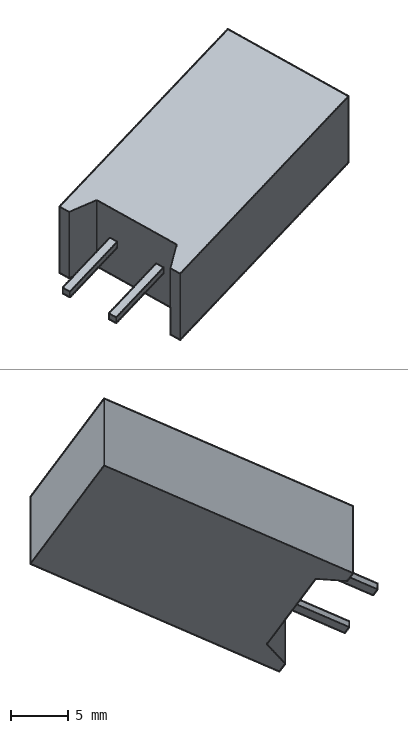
import cadquery as cq

WIDTH = 13.0
TOTAL_LENGTH = 29.5
HEIGHT = 9.0

HOUSING_LENGTH = 25.0
NOTCH_DEPTH = 2.5
NOTCH_FLOOR_WIDTH = 8.6
NOTCH_MOUTH_WIDTH = 10.92

PIN_SIDE = 0.8
PIN_PITCH = 5.0

MOUTH_Y = TOTAL_LENGTH - HOUSING_LENGTH
NOTCH_FLOOR_Y = MOUTH_Y + NOTCH_DEPTH


def make_housing():
    """Block with a tapered notch running through its full height at the pin end."""
    return (
        cq.Workplane("XY")
        .moveTo(-WIDTH / 2, TOTAL_LENGTH)
        .lineTo(-WIDTH / 2, MOUTH_Y)
        .lineTo(-NOTCH_MOUTH_WIDTH / 2, MOUTH_Y)
        .lineTo(-NOTCH_FLOOR_WIDTH / 2, NOTCH_FLOOR_Y)
        .lineTo(NOTCH_FLOOR_WIDTH / 2, NOTCH_FLOOR_Y)
        .lineTo(NOTCH_MOUTH_WIDTH / 2, MOUTH_Y)
        .lineTo(WIDTH / 2, MOUTH_Y)
        .lineTo(WIDTH / 2, TOTAL_LENGTH)
        .close()
        .extrude(HEIGHT / 2, both=True)
    )


def make_pin(x):
    """Square pin standing on the notch floor at mid height."""
    return (
        cq.Workplane("XY")
        .box(PIN_SIDE, NOTCH_FLOOR_Y, PIN_SIDE, centered=(True, False, True))
        .translate((x, 0, 0))
    )


housing = make_housing()
pins = [make_pin(side * PIN_PITCH / 2) for side in (-1, 1)]

result = cq.Compound.makeCompound([housing.val(), *[pin.val() for pin in pins]])